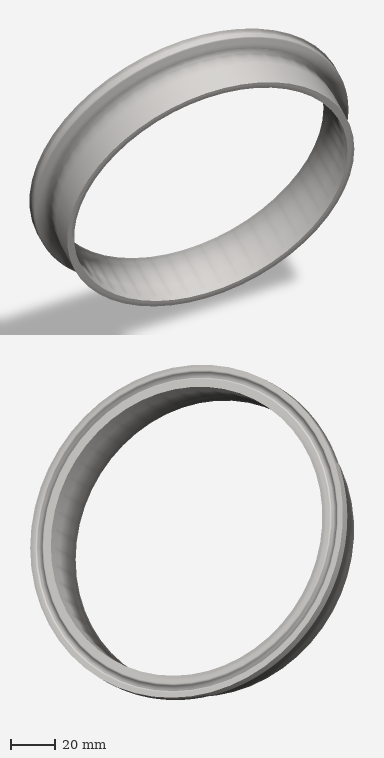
import cadquery as cq
import math

length = 28.0
flange_radius = 77.5
tube_radius = 70.7
bore_radius = 67.3

rim_round_start = 4.6
rim_round = 1.0
neck_round = 2.0
taper_angle = math.radians(20)

groove_center_radius = 73.0
groove_half_width = 2.1
groove_floor_round = 1.2
groove_lip_round = 1.0


def make_body():
    """Revolve the ring section, then round the rim and the neck."""
    rim_width = rim_round_start + rim_round * math.tan((math.pi / 2 - taper_angle) / 2)
    taper_end = rim_width + (flange_radius - tube_radius) * math.tan(taper_angle)
    body = (
        cq.Workplane("XY")
        .moveTo(0, bore_radius)
        .lineTo(0, flange_radius)
        .lineTo(rim_width, flange_radius)
        .lineTo(taper_end, tube_radius)
        .lineTo(length, tube_radius)
        .lineTo(length, bore_radius)
        .close()
        .revolve(360, (0, 0, 0), (1, 0, 0))
    )

    def edge_at(x):
        margin = 0.2
        reach = flange_radius + 1.5
        return cq.selectors.BoxSelector((x - margin, -reach, -reach), (x + margin, reach, reach))

    body = body.edges(edge_at(rim_width)).edges("%CIRCLE").fillet(rim_round)
    return body.edges(edge_at(taper_end)).edges("%CIRCLE").fillet(neck_round)


def make_groove():
    """Ring-shaped cutter whose lip arcs run tangent into its floor arc."""
    center_distance = groove_floor_round + groove_lip_round
    sweep = math.asin(groove_half_width / center_distance)
    floor_center_x = groove_lip_round - center_distance * math.cos(sweep)
    floor_x = floor_center_x + groove_floor_round
    tangent_x = groove_lip_round * (1 - math.cos(sweep))
    tangent_offset = groove_half_width - groove_lip_round * math.sin(sweep)
    lip_mid_x = groove_lip_round * (1 - math.cos(sweep / 2))
    lip_mid_offset = groove_half_width - groove_lip_round * math.sin(sweep / 2)
    mid = groove_center_radius
    return (
        cq.Workplane("XY")
        .moveTo(0, mid - groove_half_width)
        .threePointArc((lip_mid_x, mid - lip_mid_offset), (tangent_x, mid - tangent_offset))
        .threePointArc((floor_x, mid), (tangent_x, mid + tangent_offset))
        .threePointArc((lip_mid_x, mid + lip_mid_offset), (0, mid + groove_half_width))
        .close()
        .revolve(360, (0, 0, 0), (1, 0, 0))
    )


result = make_body().cut(make_groove())